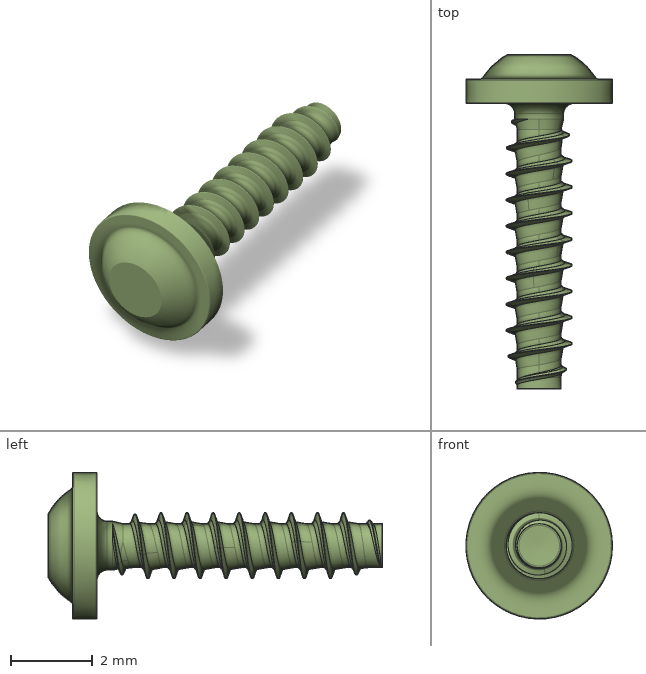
import cadquery as cq
import math


profile_plane = cq.Plane(origin=(0, 0, 0), xDir=(0, 0, 1), normal=(-1, 0, 0))

flange_radius = 1.8
flange_thickness = 0.6
flange_edge_radius = 0.03
dome_height = 0.6
dome_base_radius = 1.41
dome_top_radius = 0.78
dome_sphere_radius = 1.65
dome_rim_fillet = 0.06

shank_length = 7.0
neck_radius = 0.6
neck_fillet = 0.25
neck_length = 0.385
neck_taper_length = 0.25
core_radius = 0.54
end_dish_radius = 0.5
end_dish_depth = 0.04

pitch = 0.64
crest_radius = 0.81
crest_half_width = 0.008
first_crest_y = -0.768
ridge_base_radius = 0.5
ridge_inner_radius = 0.48
thread_start_turn = -0.85
full_depth_start_turn = 0.55
full_depth_end_turn = 8.25
thread_end_turn = 9.85
start_height_share = 0.46
end_height_share = 0.05
longest_stretch_turns = 0.6
steps_per_stretch = 9

ridge_section = [
    (ridge_inner_radius, -0.42),
    (0.53, -0.42),
    (0.59, -0.08),
    (crest_radius, -crest_half_width),
    (crest_radius, crest_half_width),
    (0.63, 0.06),
    (ridge_inner_radius, 0.185),
]


def arc_middle(start, end, radius):
    """Middle of the arc from start to end that bulges away from the axis and upward."""
    chord_x = end[0] - start[0]
    chord_y = end[1] - start[1]
    chord = math.hypot(chord_x, chord_y)
    rise = radius - math.sqrt(radius**2 - (chord / 2) ** 2)
    return (
        (start[0] + end[0]) / 2 + rise * chord_y / chord,
        (start[1] + end[1]) / 2 - rise * chord_x / chord,
    )


def make_head():
    """Flat flange with rounded edges, and a flat-topped dome with a rounded rim."""
    flange = cq.Workplane("XZ").circle(flange_radius).extrude(-flange_thickness)
    base = (dome_base_radius, flange_thickness)
    top = (dome_top_radius, flange_thickness + dome_height)
    dome = (
        cq.Workplane(profile_plane)
        .moveTo(0, flange_thickness / 2)
        .lineTo(dome_base_radius, flange_thickness / 2)
        .lineTo(*base)
        .threePointArc(arc_middle(base, top, dome_sphere_radius), top)
        .lineTo(0, top[1])
        .close()
        .revolve(360, (0, 0, 0), (0, 1, 0))
    )
    dome_rim = cq.selectors.RadiusNthSelector(1)
    flange_edges = cq.selectors.RadiusNthSelector(-1)
    head = flange.union(dome).edges(dome_rim).fillet(dome_rim_fillet)
    return head.edges(flange_edges).fillet(flange_edge_radius)


def make_shank():
    """Neck with its concave fillet, a short taper, the core and the dished end."""
    fillet_offset = neck_fillet * (1 - math.sqrt(0.5))
    return (
        cq.Workplane(profile_plane)
        .moveTo(0, flange_thickness / 2)
        .lineTo(neck_radius + neck_fillet, flange_thickness / 2)
        .lineTo(neck_radius + neck_fillet, 0)
        .threePointArc((neck_radius + fillet_offset, -fillet_offset), (neck_radius, -neck_fillet))
        .lineTo(neck_radius, -neck_length)
        .lineTo(core_radius, -neck_length - neck_taper_length)
        .lineTo(core_radius, -shank_length)
        .lineTo(end_dish_radius, -shank_length)
        .lineTo(0, -shank_length + end_dish_depth)
        .close()
        .revolve(360, (0, 0, 0), (0, 1, 0))
    )


def height_share(turn):
    """Ridge height at a turn as a share of its full height."""
    if turn < full_depth_start_turn:
        part = (turn - thread_start_turn) / (full_depth_start_turn - thread_start_turn)
        return start_height_share + (1 - start_height_share) * part
    if turn > full_depth_end_turn:
        part = (turn - full_depth_end_turn) / (thread_end_turn - full_depth_end_turn)
        return 1 + (end_height_share - 1) * part
    return 1


def section_at(turn):
    """Ridge section turned to its place, its height above the base radius scaled."""
    angle = 2 * math.pi * turn
    points = []
    for full_radius, offset in ridge_section:
        radius = full_radius
        if full_radius > ridge_base_radius:
            radius = ridge_base_radius + (full_radius - ridge_base_radius) * height_share(turn)
        y = first_crest_y - pitch * turn + offset
        points.append(cq.Vector(radius * math.cos(angle), y, radius * math.sin(angle)))
    return points


def stretch_faces(start_turn, end_turn):
    """Helical faces of the ridge between two turns."""
    step = (end_turn - start_turn) / steps_per_stretch
    sections = [section_at(start_turn + step * i) for i in range(steps_per_stretch + 1)]
    edges = [cq.Edge.makeSpline(list(track)) for track in zip(*sections)]
    neighbours = edges[1:] + edges[:1]
    return [cq.Face.makeRuledSurface(a, b) for a, b in zip(edges, neighbours)]


def end_cap(turn):
    return cq.Face.makeFromWires(cq.Wire.makePolygon(section_at(turn), close=True))


def make_thread():
    """Ridge that grows below the neck and fades out at the end of the shank."""
    faces = [end_cap(thread_start_turn), end_cap(thread_end_turn)]
    zone_limits = [thread_start_turn, full_depth_start_turn, full_depth_end_turn, thread_end_turn]
    for zone_start, zone_end in zip(zone_limits, zone_limits[1:]):
        stretches = math.ceil((zone_end - zone_start) / longest_stretch_turns)
        length = (zone_end - zone_start) / stretches
        for i in range(stretches):
            faces += stretch_faces(zone_start + i * length, zone_start + (i + 1) * length)
    ridge = cq.Workplane(cq.Solid.makeSolid(cq.Shell.makeShell(faces)))
    span = (
        cq.Workplane("XZ", origin=(0, -neck_length, 0))
        .circle(flange_radius)
        .extrude(shank_length - neck_length - end_dish_depth)
    )
    return ridge.intersect(span)


result = make_head().union(make_shank()).union(make_thread())